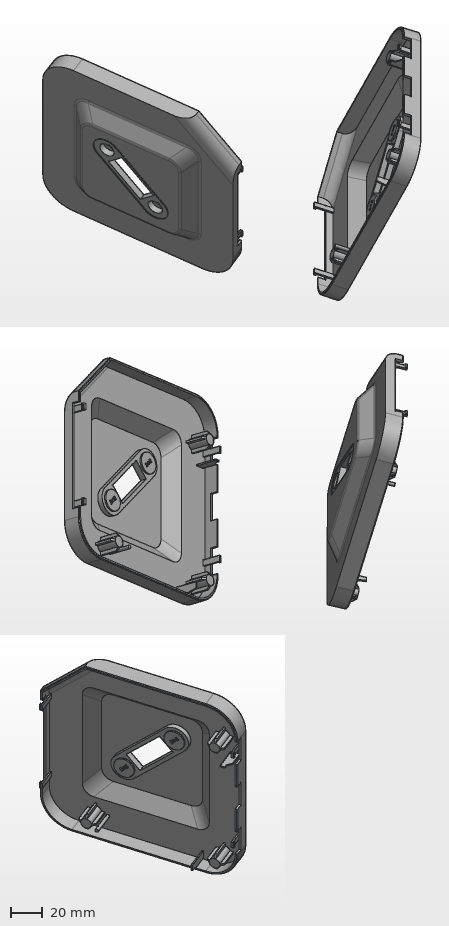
import cadquery as cq
import math

side = 139.2
half = side / 2
rim_height = 11.8
wall = 1.7
corner_radius = 22.5
corner_cut = 31.5
cut_fillet = 8.1
rim_draft = 0.17
rim_chamfer = 0.5
clearance = 1.4
foot = wall / 2

boss_height = 9.2
boss_base_half = 45.4
boss_top_half = boss_base_half - boss_height
boss_corner = 8.8
boss_fillet = 2.8
flank_shift = wall * math.tan(math.radians(22.5))

panel_angle = -45.0
panel_end = 17.7
panel_span = 2 * panel_end * math.sqrt(2)
panel_radius = 9.6
panel_recess = 0.7
panel_depth = 4.5
window_length = 33.0
window_width = 13.8
bore_diameter = 10.5
cup_diameter = 14.3
cup_floor = 1.1
center_hole = 2.0
slit_offset = 2.6
slit_length = 2.4
slit_width = 1.4

notch_floor = 6.5
notch_width = 18.5
notch_pitch = 36.9
far_notch_bottom = -40.7
far_notch_top = 31.0

hook_width = 4.2
hook_leg = 1.1
hook_outer = 67.5
hook_reach = 1.0
hook_top = 14.9
hook_lip_depth = 1.7
hook_lip = 0.4
far_hook_margin = 3.8

post_left = -55.5
post_right = 35.0
post_low = -55.1
post_high = 40.0
post_top = 16.3
post_diameter = 7.5
rib_span = 12.1
rib_thickness = 1.4
rib_chamfer = 2.2

pin_top = 18.0
bottom_fin_top = 17.8
side_fin_top = 17.4
side_fin_step = 15.0
fin_thickness = 1.0
pin_center = (26.6, -56.8)
pin_diameter = 2.4
side_fin_z = 27.3
bottom_fin_x = -40.2


def plane_at(y):
    """Sketch plane parallel to the front face: local x is X, local y is Z."""
    return cq.Workplane("XZ", origin=(0, y, 0))


def rim_outline(y, inset):
    """Rounded square with one corner cut, moved inwards by inset."""
    h = half - inset
    radius = corner_radius - inset
    straight = h - radius
    cut_start = h - corner_cut + inset * (2 - math.sqrt(2))
    middle = straight + radius * math.sqrt(0.5)
    return (
        plane_at(y)
        .moveTo(-straight, h)
        .lineTo(cut_start, h)
        .lineTo(h, cut_start)
        .lineTo(h, -straight)
        .threePointArc((middle, -middle), (straight, -h))
        .lineTo(-straight, -h)
        .threePointArc((-middle, -middle), (-h, -straight))
        .lineTo(-h, straight)
        .threePointArc((-middle, middle), (-straight, h))
        .close()
        .wire()
        .val()
    )


def tray_block(y_front, y_back, inset, draft, fillet):
    """Solid block of the tray outline with the corner cut rounded to the front."""
    front = rim_outline(y_front, inset)
    back = rim_outline(y_back, inset + draft)
    block = cq.Workplane(cq.Solid.makeLoft([front, back], True))
    cut_edge = cq.selectors.NearestToPointSelector(
        (half - corner_cut / 2, y_front, half - corner_cut / 2))
    return block.edges(cut_edge).fillet(fillet)


def frustum(y_base, base_half, y_top, top_half, radius):
    """Square frustum with rounded corners of constant radius."""
    sketch_base = cq.Sketch().rect(2 * base_half, 2 * base_half).vertices().fillet(radius)
    sketch_top = cq.Sketch().rect(2 * top_half, 2 * top_half).vertices().fillet(radius)
    return (
        plane_at(y_base)
        .placeSketch(sketch_base, sketch_top.moved(cq.Location(cq.Vector(0, 0, y_base - y_top))))
        .loft()
    )


def shell():
    """Drafted tray with the hollow boss on its front."""
    outer = tray_block(0, rim_height, 0, rim_draft, cut_fillet).faces(">Y").chamfer(rim_chamfer)
    outer = outer.union(frustum(0, boss_base_half, -boss_height, boss_top_half, boss_corner))
    reach = boss_base_half + clearance
    base_box = cq.selectors.BoxSelector((-reach, -clearance, -reach), (reach, clearance, reach))
    outer = outer.edges(base_box).fillet(boss_fillet)
    outer = outer.faces("<Y").edges().fillet(boss_fillet)

    cavity = tray_block(wall, rim_height + clearance, wall, rim_draft, cut_fillet - wall)
    inner_top = boss_top_half - flank_shift
    y_top = -boss_height + wall
    boss_cavity = frustum(wall, inner_top + boss_height, y_top, inner_top, boss_corner - flank_shift)
    return outer.cut(cavity).cut(boss_cavity)


def panel_sketch(y):
    return plane_at(y).transformed(rotate=(0, 0, panel_angle))


def add_panel(body):
    y_recess = -boss_height + panel_recess
    y_back = y_recess + panel_depth
    length = panel_span + 2 * panel_radius
    width = 2 * panel_radius
    ends = [(-panel_span / 2, 0), (panel_span / 2, 0)]
    slits = [(x + s * slit_offset, 0) for x, _ in ends for s in (-1, 1)]
    through = panel_depth + cup_floor

    pad = panel_sketch(y_recess).slot2D(length, width).extrude(-panel_depth)
    cups = panel_sketch(y_recess).pushPoints(ends).circle(cup_diameter / 2).extrude(-through)
    recess = panel_sketch(-boss_height).slot2D(length, width).extrude(-panel_recess)
    window = panel_sketch(y_recess).rect(window_length, window_width).extrude(-panel_depth)
    bores = panel_sketch(y_recess).pushPoints(ends).circle(bore_diameter / 2).extrude(-panel_depth)
    holes = panel_sketch(y_back).pushPoints(ends).circle(center_hole / 2).extrude(-cup_floor)
    slots = panel_sketch(y_back).pushPoints(slits).rect(slit_width, slit_length).extrude(-cup_floor)

    body = body.union(pad).union(cups)
    for tool in (recess, window, bores, holes, slots):
        body = body.cut(tool)
    return body


def wall_notch(x_sign, z_low, z_high):
    """Box that lowers a stretch of a side wall to the notch floor."""
    depth = 2 * (wall + clearance)
    height = rim_height - notch_floor + clearance
    center = (x_sign * half, notch_floor + height / 2, (z_low + z_high) / 2)
    return cq.Workplane("XY", origin=center).box(depth, height, z_high - z_low)


def cut_notches(body):
    for index in (-1, 0, 1):
        z = index * notch_pitch
        body = body.cut(wall_notch(-1, z - notch_width / 2, z + notch_width / 2))
    return body.cut(wall_notch(1, far_notch_bottom, far_notch_top))


def hook(x_sign, z):
    """Upright leg with a downturned lip pointing outwards."""
    inner = hook_outer - hook_leg
    tip = hook_outer + hook_reach
    profile = [
        (inner, foot),
        (hook_outer, foot),
        (hook_outer, hook_top - hook_lip),
        (tip - hook_lip, hook_top - hook_lip),
        (tip - hook_lip, hook_top - hook_lip_depth),
        (tip, hook_top - hook_lip_depth),
        (tip, hook_top - hook_lip),
        (tip - hook_lip, hook_top),
        (inner, hook_top),
    ]
    points = [(x_sign * x, y) for x, y in profile]
    return cq.Workplane("XY", origin=(0, 0, z)).polyline(points).close().extrude(hook_width / 2, both=True)


def post(x, z):
    """Round post with four chamfered ribs in a cross."""
    height = post_top - foot
    rib = (
        plane_at(foot).rect(rib_span, rib_thickness).extrude(-height)
        .faces(">Y").edges("|Z").chamfer(rib_chamfer)
    )
    core = plane_at(foot).circle(post_diameter / 2).extrude(-height)
    cross = core.union(rib).union(rib.rotate((0, 0, 0), (0, 1, 0), 90))
    return cross.translate((x, 0, z))


def pin():
    return plane_at(foot).center(*pin_center).circle(pin_diameter / 2).extrude(-(pin_top - foot))


def side_fin():
    """Thin fin near the -X wall with a slope and a step on its outer edge."""
    x_inner, x_step, x_outer = -59.9, -63.2, -66.1
    points = [
        (x_inner, foot), (x_outer, foot), (x_outer, rim_height),
        (x_step, side_fin_step), (x_step, side_fin_top), (x_inner, side_fin_top),
    ]
    return (
        cq.Workplane("XY", origin=(0, 0, side_fin_z))
        .polyline(points).close().extrude(fin_thickness / 2, both=True)
    )


def bottom_fin():
    """Thin fin near the -Z wall with a sloped outer edge."""
    z_inner, z_top, z_foot = -61.0, -65.3, -66.8
    points = [
        (foot, z_inner), (bottom_fin_top, z_inner), (bottom_fin_top, z_top),
        (rim_height, z_foot), (foot, z_foot),
    ]
    return (
        cq.Workplane("YZ", origin=(bottom_fin_x, 0, 0))
        .polyline(points).close().extrude(fin_thickness / 2, both=True)
    )


near_hooks = [(-1, z) for z in (-notch_pitch, notch_pitch)]
far_hooks = [(1, z) for z in (far_notch_bottom + far_hook_margin, far_notch_top - far_hook_margin)]
post_centers = [(post_left, post_low), (post_left, post_high), (post_right, post_low)]

result = cut_notches(add_panel(shell()))
for x_sign, z in near_hooks + far_hooks:
    result = result.union(hook(x_sign, z))
for x, z in post_centers:
    result = result.union(post(x, z))
result = result.union(pin()).union(side_fin()).union(bottom_fin())